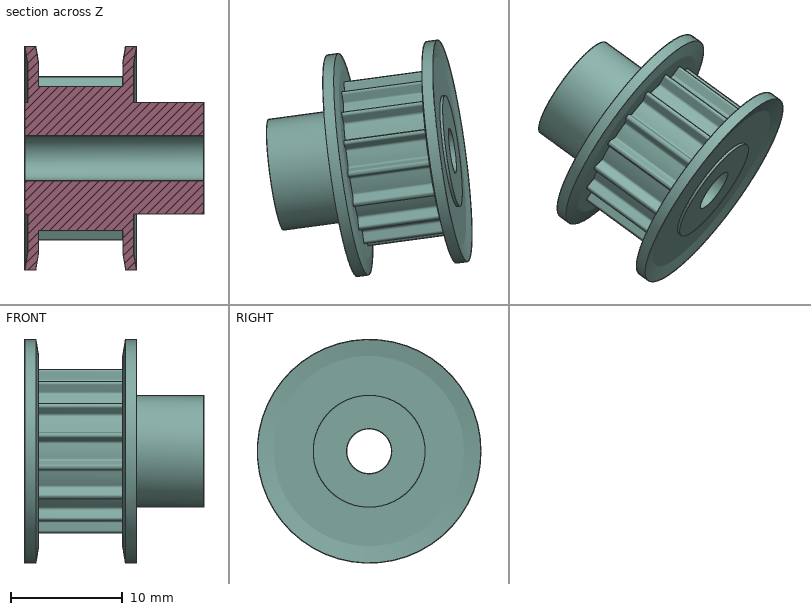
import cadquery as cq
import math

flange_radius = 10.0
flange_flat_radius = 8.5
flange_thickness = 1.0
flange_dish = flange_thickness / 4
flange_span = 10.0

hub_radius = 5.0
bore_radius = 2.0
total_length = 16.0

tooth_count = 16
tip_radius = 7.45
root_radius = 6.45
tooth_tip_width = 0.4
tooth_root_width = 0.88
tip_fillet = 0.2
root_fillet = 0.25

tooth_pitch = 360.0 / tooth_count
rim_start = flange_thickness / 2
rim_length = flange_span - 2 * rim_start


def disc(radius, start, length):
    """Solid cylinder around the X axis."""
    return cq.Workplane("YZ", origin=(start, 0, 0)).circle(radius).extrude(length)


def flange(outer_x, inward):
    """Dished disc whose rim starts at outer_x; inward is the X direction of the teeth."""
    rim_inner_x = outer_x + inward * flange_thickness
    offset = inward * flange_dish
    return (
        cq.Workplane("XY")
        .moveTo(outer_x + offset, 0)
        .lineTo(outer_x + offset, flange_flat_radius)
        .lineTo(outer_x, flange_radius)
        .lineTo(rim_inner_x, flange_radius)
        .lineTo(rim_inner_x + offset, flange_flat_radius)
        .lineTo(rim_inner_x + offset, 0)
        .close()
        .revolve(360, (0, 0, 0), (1, 0, 0))
    )


def flank_angle(radius, tooth_width):
    """Angle from a gap's centre to the flank, where the tooth has this width."""
    return math.radians(tooth_pitch / 2) - math.asin(tooth_width / 2 / radius)


def tooth_gap():
    """Cutter for one tooth gap, centred on +Y, with rounded root corners."""
    root_angle = flank_angle(root_radius, tooth_root_width)
    tip_angle = flank_angle(tip_radius, tooth_tip_width)
    root_y = root_radius * math.cos(root_angle)
    root_z = root_radius * math.sin(root_angle)
    tip_y = tip_radius * math.cos(tip_angle)
    tip_z = tip_radius * math.sin(tip_angle)
    outer_y = 2 * tip_y - root_y
    outer_z = 2 * tip_z - root_z
    cutter = (
        cq.Workplane("YZ", origin=(rim_start, 0, 0))
        .moveTo(outer_y, -outer_z)
        .lineTo(root_y, -root_z)
        .threePointArc((root_radius, 0), (root_y, root_z))
        .lineTo(outer_y, outer_z)
        .close()
        .extrude(rim_length)
    )
    return cutter.edges("|X").edges("<Y").fillet(root_fillet)


def toothed_rim():
    """Toothed cylinder between the flanges, reaching into each of them."""
    rim = disc(tip_radius, rim_start, rim_length)
    gap = tooth_gap()
    for index in range(tooth_count):
        rim = rim.cut(gap.rotate((0, 0, 0), (1, 0, 0), index * tooth_pitch))
    mid_radius = (root_radius + tip_radius) / 2
    tip_edges = rim.edges("|X").filter(
        lambda edge: math.hypot(edge.Center().y, edge.Center().z) > mid_radius
    )
    return tip_edges.fillet(tip_fillet)


pulley = disc(hub_radius, 0, total_length).union(toothed_rim())
pulley = pulley.union(flange(0, 1)).union(flange(flange_span, -1))
result = pulley.cut(disc(bore_radius, 0, total_length))